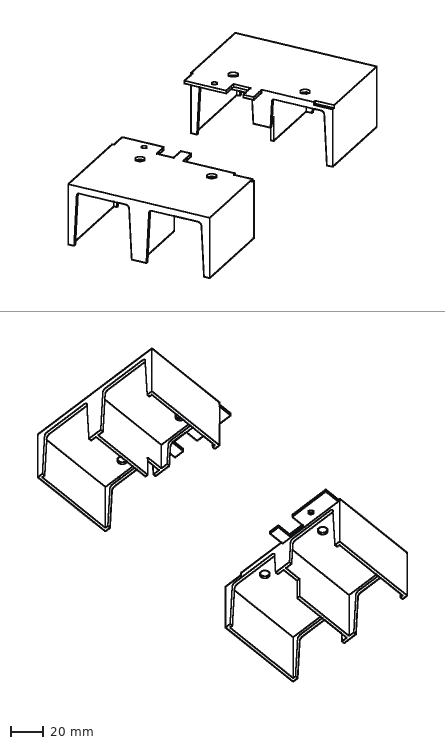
import cadquery as cq
import math

OVERALL_LENGTH = 226.0
WIDTH = 98.0
HEIGHT = 42.0

COVER_LENGTH = 60.0
SHELL_THICKNESS = 2.0

FRAME_THICKNESS = 2.0
FRAME_TOP = 4.7
DRAFT_ANGLE = 2.9
WALL_FOOT = 4.0
RIB_FOOT = 10.2
CORNER_RADIUS = 2.3

TAB_REACH = 11.0
TAB_SIDE_INSET = 1.1
TAB_RIGHT_EDGE = 0.0
SLOT_LEFT_EDGE = -19.0
SLOT_WIDTH = 11.8
SLOT_LIP = 1.1

STEP_LENGTH = 13.0
STEP_DEPTH = FRAME_THICKNESS

ROOF_HOLE_DIAMETER = 6.0
ROOF_HOLE_X = 24.9
ROOF_HOLE_SETBACK = 10.0
TAB_HOLE_DIAMETER = 3.5
TAB_HOLE_X = -29.8

NOTCH_LENGTH = 14.0
NOTCH_HEIGHT = 17.0

OUTER_Y = -OVERALL_LENGTH / 2
INNER_Y = OUTER_Y + COVER_LENGTH
TAB_END_Y = INNER_Y + TAB_REACH
OPENING_HEIGHT = HEIGHT - FRAME_TOP
DRAFT_RUN = OPENING_HEIGHT * math.tan(math.radians(DRAFT_ANGLE))


def box(x_range, y_range, z_range):
    """Box between the given pairs of limits."""
    size = [limits[1] - limits[0] for limits in (x_range, y_range, z_range)]
    corner = (x_range[0], y_range[0], z_range[0])
    return cq.Workplane("XY").box(*size, centered=False).translate(corner)


def opening(side):
    """Tapered opening beside the rib; side is -1 for left, +1 for right."""
    rib_x = RIB_FOOT / 2
    wall_x = WIDTH / 2 - WALL_FOOT
    outline = [
        (side * rib_x, 0),
        (side * (rib_x + DRAFT_RUN), OPENING_HEIGHT),
        (side * (wall_x - DRAFT_RUN), OPENING_HEIGHT),
        (side * wall_x, 0),
    ]
    cutter = cq.Workplane("XZ", origin=(0, OUTER_Y, 0)).polyline(outline).close().extrude(-COVER_LENGTH)
    return cutter.edges("|Y").edges(">Z").fillet(CORNER_RADIUS)


def tabs():
    """Wide and narrow tab, separated by a slot that stops at a small lip."""
    left_x = -WIDTH / 2 + TAB_SIDE_INSET
    heights = (HEIGHT - SHELL_THICKNESS, HEIGHT)
    plate = box((left_x, TAB_RIGHT_EDGE), (INNER_Y, TAB_END_Y), heights)
    slot_x = (SLOT_LEFT_EDGE, SLOT_LEFT_EDGE + SLOT_WIDTH)
    slot = box(slot_x, (INNER_Y + SLOT_LIP, TAB_END_Y), heights)
    return plate.cut(slot)


def corner_step():
    """Roof corner lowered by one shell thickness, as deep as the end frame."""
    return box(
        (WIDTH / 2 - STEP_LENGTH, WIDTH / 2),
        (INNER_Y - STEP_DEPTH, INNER_Y),
        (HEIGHT - SHELL_THICKNESS, HEIGHT),
    )


def holes():
    """Two holes through the roof and one through the wide tab."""
    roof_y = INNER_Y - ROOF_HOLE_SETBACK
    roof_points = [(-ROOF_HOLE_X, roof_y), (ROOF_HOLE_X, roof_y)]
    roof_holes = cq.Workplane("XY").pushPoints(roof_points).circle(ROOF_HOLE_DIAMETER / 2).extrude(HEIGHT)
    tab_y = INNER_Y + TAB_REACH / 2
    tab_hole = cq.Workplane("XY").center(TAB_HOLE_X, tab_y).circle(TAB_HOLE_DIAMETER / 2).extrude(HEIGHT)
    return roof_holes.union(tab_hole)


def hollow():
    """Cavities between the end frames, leaving a thin roof, side walls and middle web."""
    web_x = SHELL_THICKNESS / 2
    wall_x = WIDTH / 2 - SHELL_THICKNESS
    lengths = (OUTER_Y + FRAME_THICKNESS, INNER_Y - FRAME_THICKNESS)
    heights = (0, HEIGHT - SHELL_THICKNESS)
    left_cavity = box((-wall_x, -web_x), lengths, heights)
    right_cavity = box((web_x, wall_x), lengths, heights)
    return left_cavity.union(right_cavity)


def rib_notch():
    """Notch under the inner end of the web and of the rib on the inner end frame."""
    rib_x = RIB_FOOT / 2 + DRAFT_RUN
    return box((-rib_x, rib_x), (INNER_Y - NOTCH_LENGTH, INNER_Y), (0, NOTCH_HEIGHT))


def make_cover():
    """Cover at the -Y end, with its tabs pointing toward +Y."""
    cover = box((-WIDTH / 2, WIDTH / 2), (OUTER_Y, INNER_Y), (0, HEIGHT))
    for side in (-1, 1):
        cover = cover.cut(opening(side))
    cover = cover.cut(hollow()).cut(rib_notch())
    cover = cover.union(tabs())
    return cover.cut(corner_step()).cut(holes())


near_cover = make_cover()
far_cover = make_cover().mirror("XZ")
covers = [near_cover, far_cover]

result = cq.Compound.makeCompound([cover.val() for cover in covers])